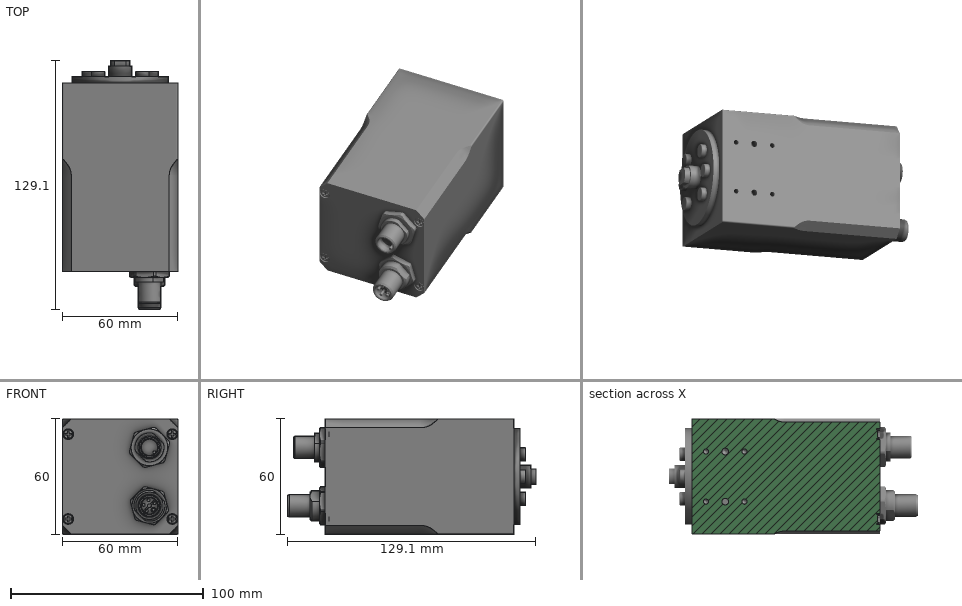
import cadquery as cq
import math

HOUSING_WIDTH = 60.0
HOUSING_LENGTH = 98.0
EDGE_RADIUS = 0.8
HALF_WIDTH = HOUSING_WIDTH / 2

CORNER_CUT_LEG = 4.6
CORNER_CUT_LENGTH = 50.0
CORNER_ANGLES = (45, 135, 225, 315)
RUNOUT_RADIUS = 12.0
RUNOUT_ANGLE = 30.0

FLANGE_DIAMETER = 50.0
FLANGE_THICKNESS = 3.2
COLLAR_DIAMETER = 12.0
COLLAR_HEIGHT = 5.5
SHAFT_DIAMETER = 10.0
SHAFT_ACROSS_FLATS = 8.0
SHAFT_LENGTH = 2.8
BOLT_HEAD_DIAMETER = 7.0
BOLT_HEAD_HEIGHT = 2.8
BOLT_HEAD_ROUNDING = 0.4
BOLT_CIRCLE_RADIUS = 16.3
BOLT_ANGLES = (0, 45, 135, 180, 225, 315)
FLANGE_FACE_Y = HOUSING_LENGTH + FLANGE_THICKNESS
COLLAR_END_Y = FLANGE_FACE_Y + COLLAR_HEIGHT

HOLE_ROW_Z = 13.0
HOLE_PITCH = 10.0
HOLE_CENTRE_FROM_BACK = 17.5
HOLE_CENTRE_Y = HOUSING_LENGTH - HOLE_CENTRE_FROM_BACK
SMALL_HOLE_DIAMETER = 2.46
LARGE_HOLE_DIAMETER = 3.24
HOLE_DEPTH = 6.0
DRILL_POINT_ANGLE = 118.0

SCREW_X = 27.0
SCREW_Z = 22.0
SCREW_POCKET_DIAMETER = 5.5
SCREW_POCKET_DEPTH = 2.0
SCREW_HEAD_DIAMETER = 4.7
SCREW_HEAD_SINK = 0.3
CROSS_LENGTH = 3.24
CROSS_WIDTH = 0.9
CROSS_DEPTH = 1.0
CROSS_CENTRE_DIAMETER = 1.55

CONNECTOR_X = 15.15
CONNECTOR_Z = 15.15
NUT_THICKNESS = 3.0
NUT_CHAMFER_ANGLE = 30.0
BARREL_DIAMETER = 11.8
SOCKET_MOUTH_DIAMETER = 9.2
SOCKET_MOUTH_DEPTH = 0.4
SOCKET_DIAMETER = 8.5
SOCKET_DEPTH = 5.0
WRENCH_FLAT_TURN = 45.0
PIN_DIAMETER = 1.5
PIN_LENGTH = 4.0

UPPER_NUT_FLATS = 19.0
UPPER_NUT_DIAMETER = 21.3
UPPER_NUT_TURN = 45.0
UPPER_COLLAR_DIAMETER = 15.0
UPPER_COLLAR_FLATS = 13.0
UPPER_COLLAR_END = 5.4
UPPER_REACH = 16.4
UPPER_TIP_DIAMETER = 10.6
UPPER_TIP_LENGTH = 0.8
UPPER_KEY_RADIUS = 3.6
UPPER_KEY_ANGLE = -45.0

LOWER_NUT_FLATS = 18.0
LOWER_NUT_DIAMETER = 20.3
LOWER_NUT_TURN = 15.0
LOWER_COLLAR_DIAMETER = 16.0
LOWER_COLLAR_FLATS = 14.0
LOWER_COLLAR_END = 7.75
LOWER_COLLAR_CHAMFER = 0.9
LOWER_REACH = 19.6
LOWER_TIP_DIAMETER = 10.7
LOWER_TIP_LENGTH = 1.1
LOWER_PIN_COUNT = 5
LOWER_PIN_RADIUS = 3.0
LOWER_PIN_START = -45.0
LOWER_KEY_DIAMETER = 2.46
LOWER_KEY_LENGTH = 3.0
FLOOR_GROOVE_WIDTH = 0.8
FLOOR_GROOVE_DEPTH = 0.5
FLOOR_GROOVE_TURN = 45.0
FLOOR_DIMPLE_DIAMETER = 2.0


def cylinder(x, z, y_start, y_end, diameter):
    """Cylinder along Y between two Y positions."""
    plane = cq.Workplane("XZ", origin=(x, y_end, z))
    return plane.circle(diameter / 2).extrude(y_end - y_start)


def box_on_axis(x, z, y_start, y_end, width, height, turn=0.0):
    """Rectangular bar along Y, turned about its own axis; angles run from +X to +Z."""
    plane = cq.Workplane("XZ", origin=(x, y_end, z)).transformed(rotate=(0, 0, turn))
    return plane.rect(width, height).extrude(y_end - y_start)


def polar(radius, angle):
    """X and Z offsets of a point at an angle from +X to +Z."""
    return radius * math.cos(math.radians(angle)), radius * math.sin(math.radians(angle))


def corner_cutter():
    """Cutter for one long edge, laid out along +X: a flat, a concave arc and a sloped exit."""
    slope = math.radians(RUNOUT_ANGLE)
    flat_x = HALF_WIDTH * math.sqrt(2) - CORNER_CUT_LEG / math.sqrt(2)
    outer_x = HALF_WIDTH * math.sqrt(2)
    arc_centre_x = flat_x + RUNOUT_RADIUS
    arc_mid = (
        arc_centre_x - RUNOUT_RADIUS * math.cos(slope / 2),
        CORNER_CUT_LENGTH + RUNOUT_RADIUS * math.sin(slope / 2),
    )
    arc_end = (
        arc_centre_x - RUNOUT_RADIUS * math.cos(slope),
        CORNER_CUT_LENGTH + RUNOUT_RADIUS * math.sin(slope),
    )
    exit_y = arc_end[1] + (outer_x - arc_end[0]) / math.tan(slope)
    return (
        cq.Workplane("XY")
        .moveTo(flat_x, 0)
        .lineTo(flat_x, CORNER_CUT_LENGTH)
        .threePointArc(arc_mid, arc_end)
        .lineTo(outer_x, exit_y)
        .lineTo(outer_x, 0)
        .close()
        .extrude(CORNER_CUT_LEG, both=True)
    )


def housing():
    """Square bar with rounded long edges and four corner cuts."""
    body = box_on_axis(0, 0, 0, HOUSING_LENGTH, HOUSING_WIDTH, HOUSING_WIDTH)
    body = body.edges("|Y").fillet(EDGE_RADIUS)
    cutter = corner_cutter()
    for angle in CORNER_ANGLES:
        body = body.cut(cutter.rotate((0, 0, 0), (0, 1, 0), angle))
    return body


def side_hole(y, z, diameter, pointed):
    """Blind hole bored from the -X face, with or without a conical drill point."""
    radius = diameter / 2
    floor_x = HOLE_DEPTH - HALF_WIDTH
    point_length = 0.0
    if pointed:
        point_length = radius / math.tan(math.radians(DRILL_POINT_ANGLE / 2))
    profile = cq.Workplane("XY").moveTo(-HALF_WIDTH, 0).lineTo(-HALF_WIDTH, radius).lineTo(floor_x, radius)
    if pointed:
        profile = profile.lineTo(floor_x + point_length, 0)
    else:
        profile = profile.lineTo(floor_x, 0)
    drill = profile.close().revolve(360, (0, 0, 0), (1, 0, 0))
    return drill.translate((0, y, z))


def add_side_holes(body):
    """Two rows of three holes; the middle hole of the lower row has a flat floor."""
    for z in (-HOLE_ROW_Z, HOLE_ROW_Z):
        for offset in (-HOLE_PITCH, HOLE_PITCH):
            body = body.cut(side_hole(HOLE_CENTRE_Y + offset, z, SMALL_HOLE_DIAMETER, True))
    body = body.cut(side_hole(HOLE_CENTRE_Y, HOLE_ROW_Z, LARGE_HOLE_DIAMETER, True))
    return body.cut(side_hole(HOLE_CENTRE_Y, -HOLE_ROW_Z, LARGE_HOLE_DIAMETER, False))


def add_front_screws(body):
    """Screw heads standing in round pockets, each with a cross recess that widens to a round centre."""
    cross_floor = SCREW_HEAD_SINK + CROSS_DEPTH
    for x in (-SCREW_X, SCREW_X):
        for z in (-SCREW_Z, SCREW_Z):
            head = cylinder(x, z, SCREW_HEAD_SINK, SCREW_POCKET_DEPTH, SCREW_HEAD_DIAMETER)
            head = head.cut(box_on_axis(x, z, SCREW_HEAD_SINK, cross_floor, CROSS_LENGTH, CROSS_WIDTH))
            head = head.cut(box_on_axis(x, z, SCREW_HEAD_SINK, cross_floor, CROSS_WIDTH, CROSS_LENGTH))
            head = head.cut(cylinder(x, z, SCREW_HEAD_SINK, cross_floor, CROSS_CENTRE_DIAMETER))
            body = body.cut(cylinder(x, z, 0, SCREW_POCKET_DEPTH, SCREW_POCKET_DIAMETER)).union(head)
    return body


def rear_flange():
    """Round flange with a collar, a two-flat shaft end and a ring of bolt heads."""
    flange = cylinder(0, 0, HOUSING_LENGTH, FLANGE_FACE_Y, FLANGE_DIAMETER)
    flange = flange.union(cylinder(0, 0, FLANGE_FACE_Y, COLLAR_END_Y, COLLAR_DIAMETER))
    shaft_end_y = COLLAR_END_Y + SHAFT_LENGTH
    shaft = cylinder(0, 0, COLLAR_END_Y, shaft_end_y, SHAFT_DIAMETER)
    flats = box_on_axis(0, 0, COLLAR_END_Y, shaft_end_y, SHAFT_DIAMETER, SHAFT_ACROSS_FLATS)
    flange = flange.union(shaft.intersect(flats))
    for angle in BOLT_ANGLES:
        x, z = polar(BOLT_CIRCLE_RADIUS, angle)
        head = cylinder(x, z, FLANGE_FACE_Y, FLANGE_FACE_Y + BOLT_HEAD_HEIGHT, BOLT_HEAD_DIAMETER)
        flange = flange.union(head.faces(">Y").edges().fillet(BOLT_HEAD_ROUNDING))
    return flange


def nut(z, across_flats, outer_diameter, turn):
    """Hexagon nut with turned-off corners and a conical chamfer on its front."""
    flat_radius = across_flats / 2
    outer_radius = outer_diameter / 2
    chamfer_height = (outer_radius - flat_radius) * math.tan(math.radians(NUT_CHAMFER_ANGLE))
    plane = cq.Workplane("XZ", origin=(CONNECTOR_X, 0, z)).transformed(rotate=(0, 0, turn))
    hexagon = plane.polygon(6, across_flats, circumscribed=True).extrude(NUT_THICKNESS)
    turned = (
        cq.Workplane("XY")
        .lineTo(outer_radius, 0)
        .lineTo(outer_radius, chamfer_height - NUT_THICKNESS)
        .lineTo(flat_radius, -NUT_THICKNESS)
        .lineTo(0, -NUT_THICKNESS)
        .close()
        .revolve(360, (0, 0, 0), (0, 1, 0))
        .translate((CONNECTOR_X, 0, z))
    )
    return hexagon.intersect(turned)


def wrench_collar(z, reach, diameter, across_flats, chamfer=0.0):
    """Round collar with two parallel flats facing the +X+Z and -X-Z diagonals."""
    collar = cylinder(CONNECTOR_X, z, -reach, 0, diameter)
    if chamfer > 0:
        collar = collar.faces("<Y").chamfer(chamfer)
    flats = box_on_axis(CONNECTOR_X, z, -reach, 0, across_flats, diameter, WRENCH_FLAT_TURN)
    return collar.intersect(flats)


def barrel(z, reach, tip_diameter, tip_length):
    """Hollow plug barrel with a tapered tip and a bevelled socket mouth."""
    barrel_radius = BARREL_DIAMETER / 2
    tip_radius = tip_diameter / 2
    mouth_radius = SOCKET_MOUTH_DIAMETER / 2
    socket_radius = SOCKET_DIAMETER / 2
    return (
        cq.Workplane("XY")
        .lineTo(barrel_radius, 0)
        .lineTo(barrel_radius, tip_length - reach)
        .lineTo(tip_radius, -reach)
        .lineTo(mouth_radius, -reach)
        .lineTo(socket_radius, SOCKET_MOUTH_DEPTH - reach)
        .lineTo(socket_radius, SOCKET_DEPTH - reach)
        .lineTo(0, SOCKET_DEPTH - reach)
        .close()
        .revolve(360, (0, 0, 0), (0, 1, 0))
        .translate((CONNECTOR_X, 0, z))
    )


def socket_pin(z, reach, radius, angle, diameter=PIN_DIAMETER, length=PIN_LENGTH):
    """Round pin standing on the socket floor."""
    dx, dz = polar(radius, angle)
    floor_y = SOCKET_DEPTH - reach
    return cylinder(CONNECTOR_X + dx, z + dz, floor_y - length, floor_y, diameter)


def upper_connector():
    """Short connector with a single key pin."""
    z = CONNECTOR_Z
    connector = nut(z, UPPER_NUT_FLATS, UPPER_NUT_DIAMETER, UPPER_NUT_TURN)
    connector = connector.union(wrench_collar(z, UPPER_COLLAR_END, UPPER_COLLAR_DIAMETER, UPPER_COLLAR_FLATS))
    connector = connector.union(barrel(z, UPPER_REACH, UPPER_TIP_DIAMETER, UPPER_TIP_LENGTH))
    return connector.union(socket_pin(z, UPPER_REACH, UPPER_KEY_RADIUS, UPPER_KEY_ANGLE))


def cut_floor_marks(connector, z, floor_y):
    """Shallow diagonal groove and a central round dimple in a socket floor."""
    bottom_y = floor_y + FLOOR_GROOVE_DEPTH
    groove = box_on_axis(
        CONNECTOR_X, z, floor_y, bottom_y, SOCKET_DIAMETER, FLOOR_GROOVE_WIDTH, FLOOR_GROOVE_TURN
    )
    dimple = cylinder(CONNECTOR_X, z, floor_y, bottom_y, FLOOR_DIMPLE_DIAMETER)
    return connector.cut(groove).cut(dimple)


def lower_connector():
    """Long connector with a ring of contact pins, the first of them standing in a round key."""
    z = -CONNECTOR_Z
    connector = nut(z, LOWER_NUT_FLATS, LOWER_NUT_DIAMETER, LOWER_NUT_TURN)
    collar = wrench_collar(
        z, LOWER_COLLAR_END, LOWER_COLLAR_DIAMETER, LOWER_COLLAR_FLATS, LOWER_COLLAR_CHAMFER
    )
    connector = connector.union(collar)
    connector = connector.union(barrel(z, LOWER_REACH, LOWER_TIP_DIAMETER, LOWER_TIP_LENGTH))
    connector = cut_floor_marks(connector, z, SOCKET_DEPTH - LOWER_REACH)
    key = socket_pin(
        z, LOWER_REACH, LOWER_PIN_RADIUS, LOWER_PIN_START, LOWER_KEY_DIAMETER, LOWER_KEY_LENGTH
    )
    connector = connector.union(key)
    for index in range(LOWER_PIN_COUNT):
        angle = LOWER_PIN_START + index * 360 / LOWER_PIN_COUNT
        connector = connector.union(socket_pin(z, LOWER_REACH, LOWER_PIN_RADIUS, angle))
    return connector


body = add_front_screws(add_side_holes(housing()))
result = body.union(rear_flange()).union(upper_connector()).union(lower_connector())